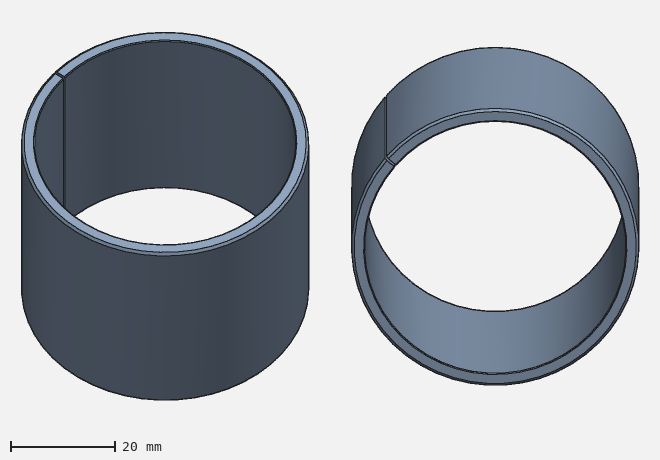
import cadquery as cq

outer_diameter = 55.0
inner_diameter = 50.0
length = 45.0

outer_chamfer = 0.5
inner_chamfer = 0.2

gap_angle = 1.0

outer_radius = outer_diameter / 2
inner_radius = inner_diameter / 2


def wall_section():
    """Wall profile on the -X side, with 45 degree chamfers on all four rims."""
    rim_outer_radius = outer_radius - outer_chamfer
    rim_inner_radius = inner_radius + inner_chamfer
    return (
        cq.Workplane("XZ")
        .moveTo(-rim_inner_radius, 0)
        .lineTo(-rim_outer_radius, 0)
        .lineTo(-outer_radius, outer_chamfer)
        .lineTo(-outer_radius, length - outer_chamfer)
        .lineTo(-rim_outer_radius, length)
        .lineTo(-rim_inner_radius, length)
        .lineTo(-inner_radius, length - inner_chamfer)
        .lineTo(-inner_radius, inner_chamfer)
        .close()
    )


def split_bushing():
    """Sweep the wall about Z, stopping short of a full turn to leave the gap."""
    axis_start = (0, 0)
    axis_end = (0, 1)
    return wall_section().revolve(360 - gap_angle, axis_start, axis_end)


result = split_bushing()